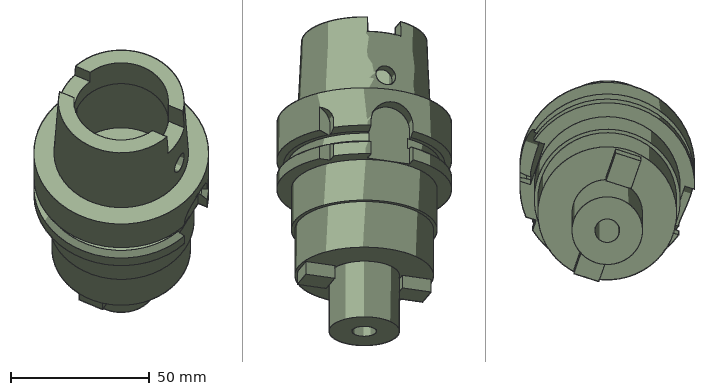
import cadquery as cq
import math


shank_length = 32.0
shank_base_diameter = 48.5
taper_ratio = 1 / 10
shank_top_diameter = shank_base_diameter - taper_ratio * shank_length

mouth_diameter = 34.0
mouth_depth = 13.0
clamping_diameter = 40.2
clamping_floor_z = -13.0
coolant_socket_diameter = 18.2
coolant_socket_depth = 10.0
through_hole_diameter = 8.8

drive_slot_width = 12.6
shallow_drive_slot_depth = 5.8
deep_drive_slot_depth = 10.0
access_hole_diameter = 7.4
access_hole_z = 9.0

flange_diameter = 63.0
flange_thickness = 26.0
groove_diameter = 55.0
groove_floor_width = 3.75
groove_center_z = -18.0
groove_shoulder_diameter = 58.2
groove_flank_angle = 30.0

keyway_floor = 26.5
narrow_keyway_width = 16.0
wide_keyway_width = 18.0
keyway_top_z = -4.8
notch_floor_x = -20.3
notch_side_y = 20.1
notch_radius = 7.5
notch_arc_z = -12.3

neck_diameter = 52.6
neck_bottom_z = -42.0
body_diameter = 50.0
shoulder_z = -60.0
pilot_diameter = 25.4
bottom_z = -82.0
key_width = 9.5
key_height = 5.0
key_span = 47.8
key_gap = 25.8


def turned_body():
    """Outer shape, as half a section revolved about Z."""
    flange_radius = flange_diameter / 2
    groove_radius = groove_diameter / 2
    shoulder_radius = groove_shoulder_diameter / 2
    groove_top_z = groove_center_z + groove_floor_width / 2
    groove_bottom_z = groove_center_z - groove_floor_width / 2
    flank_height = (flange_radius - shoulder_radius) * math.tan(math.radians(groove_flank_angle))
    section = [
        (0, bottom_z),
        (pilot_diameter / 2, bottom_z),
        (pilot_diameter / 2, shoulder_z),
        (body_diameter / 2, shoulder_z),
        (body_diameter / 2, neck_bottom_z),
        (neck_diameter / 2, neck_bottom_z),
        (neck_diameter / 2, -flange_thickness),
        (flange_radius, -flange_thickness),
        (flange_radius, groove_bottom_z - flank_height),
        (shoulder_radius, groove_bottom_z),
        (groove_radius, groove_bottom_z),
        (groove_radius, groove_top_z),
        (shoulder_radius, groove_top_z),
        (flange_radius, groove_top_z + flank_height),
        (flange_radius, 0),
        (shank_base_diameter / 2, 0),
        (shank_top_diameter / 2, shank_length),
        (0, shank_length),
    ]
    return cq.Workplane("YZ").polyline(section).close().revolve(360, (0, 0), (0, 1))


def cylinder(diameter, z_low, z_high):
    """Cylinder on the Z axis between two heights."""
    return cq.Workplane("XY").workplane(offset=z_low).circle(diameter / 2).extrude(z_high - z_low)


def bore():
    """Stepped bore: mouth, wider clamping chamber, coolant socket and through hole."""
    mouth_bottom_z = shank_length - mouth_depth
    mouth = cylinder(mouth_diameter, mouth_bottom_z, shank_length)
    chamber = cylinder(clamping_diameter, clamping_floor_z, mouth_bottom_z)
    socket = cylinder(
        coolant_socket_diameter, clamping_floor_z - coolant_socket_depth, clamping_floor_z
    )
    through_hole = cylinder(through_hole_diameter, bottom_z, clamping_floor_z)
    return mouth.union(chamber).union(socket).union(through_hole)


def drive_slot(side, depth):
    """Slot through the shank wall, open at the top; side is +1 for +X and -1 for -X."""
    length = shank_base_diameter / 2
    slot = cq.Workplane("XY").box(length, drive_slot_width, depth)
    return slot.translate((side * length / 2, 0, shank_length - depth / 2))


def access_hole():
    """Radial hole along X through both walls of the shank."""
    length = flange_diameter
    return (
        cq.Workplane("YZ")
        .workplane(offset=-length / 2)
        .center(0, access_hole_z)
        .circle(access_hole_diameter / 2)
        .extrude(length)
    )


def round_topped_slot(radius, center_y, arc_z, x_start, x_end):
    """Cutter running along X, with a half-round top and an open end at the flange back."""
    profile = (
        cq.Workplane("YZ")
        .workplane(offset=x_start)
        .moveTo(center_y - radius, -flange_thickness)
        .lineTo(center_y - radius, arc_z)
        .threePointArc((center_y, arc_z + radius), (center_y + radius, arc_z))
        .lineTo(center_y + radius, -flange_thickness)
        .close()
    )
    return profile.extrude(x_end - x_start)


def keyway(side, width):
    """Keyway in the flange rim; side is +1 for +X and -1 for -X."""
    radius = width / 2
    return round_topped_slot(
        radius, 0, keyway_top_z - radius, side * keyway_floor, side * flange_diameter / 2
    )


def orientation_notch():
    """Corner milled out of the flange rim between the -X and +Y directions."""
    return round_topped_slot(
        notch_radius, notch_side_y + notch_radius, notch_arc_z, -flange_diameter / 2, notch_floor_x
    )


def drive_keys():
    """Pair of keys under the shoulder, on the +Y and -Y sides of the pilot."""
    bar = cq.Workplane("XY").box(key_width, key_span, key_height)
    clearance = cq.Workplane("XY").box(key_width, key_gap, key_height)
    return bar.cut(clearance).translate((0, 0, shoulder_z - key_height / 2))


result = (
    turned_body()
    .union(drive_keys())
    .cut(bore())
    .cut(drive_slot(-1, shallow_drive_slot_depth))
    .cut(drive_slot(1, deep_drive_slot_depth))
    .cut(access_hole())
    .cut(keyway(-1, narrow_keyway_width))
    .cut(keyway(1, wide_keyway_width))
    .cut(orientation_notch())
)